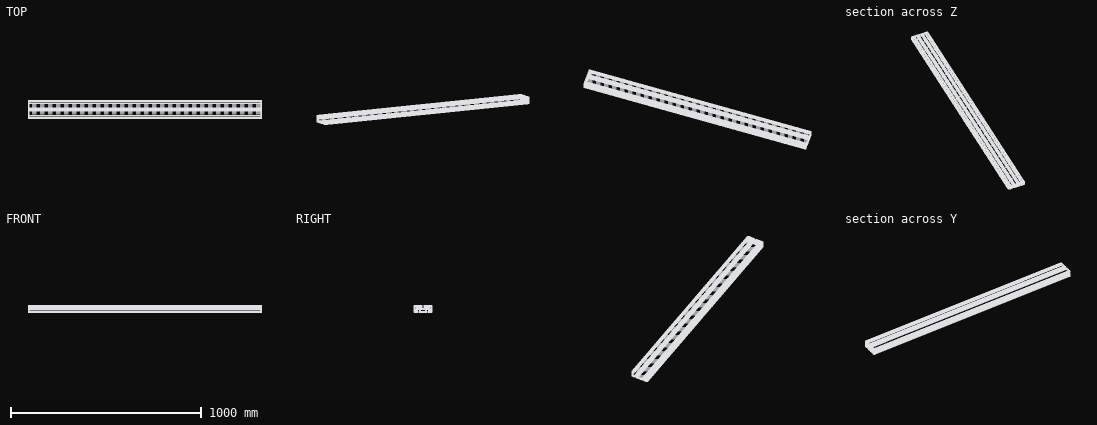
import cadquery as cq

length = 1219.0
width = 90.0
height = 32.0
half_width = width / 2
top = height / 2
bottom = -top
corner_radius = 2.0

plate = 2.2
side_wall = 1.5
web = 1.8
slot_wall = 4.0
leg_roof = 1.8
bottom_lip = 2.0

slot_half_width = 5.5
slot_floor = 1.0

chamber_leg_y = 15.2
chamber_base_y = 14.0
chamber_shoulder_z = -4.3
chamber_radius = 1.0

bottom_slot_inner_y = 17.0
bottom_slot_lip_y = 27.0
bottom_slot_outer_y = 30.0
bottom_slot_roof = -2.0

upright_outer_y = bottom_slot_outer_y + web
side_inner_y = half_width - side_wall
side_mouth_z = 5.5
side_mouth_height = 7.0
side_mouth_bottom = side_mouth_z - side_mouth_height / 2
side_mouth_top = side_mouth_z + side_mouth_height / 2
side_slot_roof = top - plate
side_slot_floor = -1.0
side_chamber_roof = side_slot_floor - web
side_radius = 4.3

screw_hole_diameter = 7.0
screw_hole_y = 22.5
screw_hole_z = 4.3

mark_half_width = 0.6
mark_depth = 0.6


def prism(points):
    """Extrude a closed (y, z) outline over the whole length."""
    outline = cq.Workplane("YZ").workplane(offset=-length / 2).polyline(points).close()
    return outline.extrude(length)


def both_sides(shape):
    """Join a shape with its mirror image across the middle plane."""
    return shape.union(shape.mirror("XZ"))


def central_slot():
    return prism([
        (-slot_half_width, slot_floor),
        (slot_half_width, slot_floor),
        (slot_half_width, top),
        (-slot_half_width, top),
    ])


def central_chamber():
    inner_y = slot_half_width + slot_wall
    roof = top - leg_roof
    web_bottom = slot_floor - slot_wall
    half_outline = [
        (chamber_base_y, bottom + plate),
        (chamber_base_y, chamber_shoulder_z),
        (chamber_leg_y, chamber_shoulder_z),
        (chamber_leg_y, roof),
        (inner_y, roof),
        (inner_y, web_bottom),
    ]
    mirrored_half = [(-y, z) for y, z in reversed(half_outline)]
    chamber = prism(half_outline + mirrored_half)
    return chamber.edges("|X").edges(">Z").fillet(chamber_radius)


def bottom_slots():
    lip_top = bottom + bottom_lip
    return both_sides(prism([
        (bottom_slot_inner_y, bottom),
        (bottom_slot_lip_y, bottom),
        (bottom_slot_lip_y, lip_top),
        (bottom_slot_outer_y, lip_top),
        (bottom_slot_outer_y, bottom_slot_roof),
        (bottom_slot_inner_y, bottom_slot_roof),
    ]))


def side_slots():
    slot = prism([
        (half_width, side_mouth_bottom),
        (half_width, side_mouth_top),
        (side_inner_y, side_mouth_top),
        (side_inner_y, side_slot_roof),
        (upright_outer_y, side_slot_roof),
        (upright_outer_y, side_slot_floor),
        (side_inner_y, side_slot_floor),
        (side_inner_y, side_mouth_bottom),
    ])
    upper_corner = cq.NearestToPointSelector((0, side_inner_y, side_slot_roof))
    return both_sides(slot.edges(upper_corner).fillet(side_radius))


def side_chambers():
    floor = bottom + plate
    chamber = prism([
        (upright_outer_y, floor),
        (side_inner_y, floor),
        (side_inner_y, side_chamber_roof),
        (upright_outer_y, side_chamber_roof),
    ])
    lower_corner = cq.NearestToPointSelector((0, side_inner_y, floor))
    return both_sides(chamber.edges(lower_corner).fillet(side_radius))


def screw_holes():
    centres = [(screw_hole_y, screw_hole_z), (-screw_hole_y, screw_hole_z)]
    end_plane = cq.Workplane("YZ").workplane(offset=-length / 2)
    return end_plane.pushPoints(centres).circle(screw_hole_diameter / 2).extrude(length)


def centre_marks():
    floor_mark = prism([
        (-mark_half_width, slot_floor),
        (0, slot_floor - mark_depth),
        (mark_half_width, slot_floor),
    ])
    side_marks = both_sides(prism([
        (upright_outer_y, side_mouth_z - mark_half_width),
        (upright_outer_y - mark_depth, side_mouth_z),
        (upright_outer_y, side_mouth_z + mark_half_width),
    ]))
    return floor_mark.union(side_marks)


result = (
    cq.Workplane("XY")
    .box(length, width, height)
    .edges("|X")
    .fillet(corner_radius)
    .cut(central_slot())
    .cut(central_chamber())
    .cut(bottom_slots())
    .cut(side_slots())
    .cut(side_chambers())
    .cut(screw_holes())
    .cut(centre_marks())
)